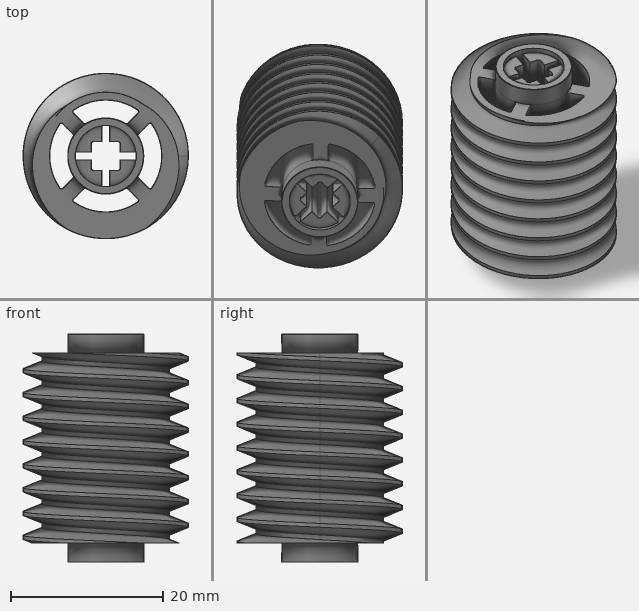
import cadquery as cq

body_length = 25.0
turns = 8
pitch = body_length / turns
root_radius = 8.39
crest_radius = 10.865
thread_depth = crest_radius - root_radius
crest_height = 0.5
flank_height = 1.0
spare_turns = 1
thread_embed = 0.3

total_length = 30.0
hub_radius = 5.0
hub_edge_chamfer = 0.05
recess_radius = 4.0
recess_depth = 0.75

slot_width = 1.0
square_side = 3.8
square_corner_radius = 0.3

window_outer_radius = 7.35
spoke_width = 2.0
spoke_angles = (45, 135)
window_corner_radius = 0.25


def centred_cylinder(radius, length):
    """Cylinder on the Z axis, centred on the origin."""
    return cq.Workplane("XY").circle(radius).extrude(length / 2, both=True)


def make_thread_turn(start_z):
    """One left-handed turn of the thread, starting on the +X side with its crest at start_z."""
    helix = cq.Wire.makeHelix(
        pitch, pitch, root_radius, center=cq.Vector(0, 0, start_z), lefthand=True
    )
    half_crest = crest_height / 2
    embed_radius = root_radius - thread_embed
    half_base = half_crest + flank_height * (crest_radius - embed_radius) / thread_depth
    return (
        cq.Workplane("XZ", origin=(0, 0, start_z))
        .polyline([
            (embed_radius, -half_base),
            (crest_radius, -half_crest),
            (crest_radius, half_crest),
            (embed_radius, half_base),
        ])
        .close()
        .sweep(cq.Workplane(helix), isFrenet=True)
        .val()
    )


def make_threaded_body():
    """Core and thread, built with spare turns at each end and trimmed to the body length."""
    first_z = -body_length / 2 - spare_turns * pitch - pitch / 4
    thread_turns = [make_thread_turn(first_z + pitch * i) for i in range(turns + 2 * spare_turns)]
    core = centred_cylinder(root_radius, body_length + 4 * spare_turns * pitch).val()
    slab = centred_cylinder(2 * crest_radius, body_length)
    return cq.Workplane(core.fuse(*thread_turns)).intersect(slab)


def make_windows():
    """Ring between hub and rim, divided by diagonal spokes, with rounded corners."""
    ring = centred_cylinder(window_outer_radius, body_length).cut(
        centred_cylinder(hub_radius, body_length)
    )
    for angle in spoke_angles:
        spoke = cq.Workplane("XY").box(2 * crest_radius, spoke_width, body_length)
        ring = ring.cut(spoke.rotate((0, 0, 0), (0, 0, 1), angle))
    return ring.edges("|Z").fillet(window_corner_radius)


def make_shaft_hole():
    """Square hole with rounded corners, crossed by two slots as long as the recess is wide."""
    hole = (
        cq.Workplane("XY")
        .box(square_side, square_side, total_length)
        .edges("|Z")
        .fillet(square_corner_radius)
    )
    slots = (
        cq.Workplane("XY")
        .box(2 * recess_radius, slot_width, total_length)
        .union(cq.Workplane("XY").box(slot_width, 2 * recess_radius, total_length))
        .intersect(centred_cylinder(recess_radius, total_length))
    )
    return hole.union(slots)


def make_recesses():
    """Round recess in each hub end."""
    return centred_cylinder(recess_radius, total_length).cut(
        centred_cylinder(recess_radius, total_length - 2 * recess_depth)
    )


hub = centred_cylinder(hub_radius, total_length).faces("<Z or >Z").chamfer(hub_edge_chamfer)

result = (
    make_threaded_body()
    .union(hub)
    .cut(make_windows())
    .cut(make_recesses())
    .cut(make_shaft_hole())
    .clean()
)